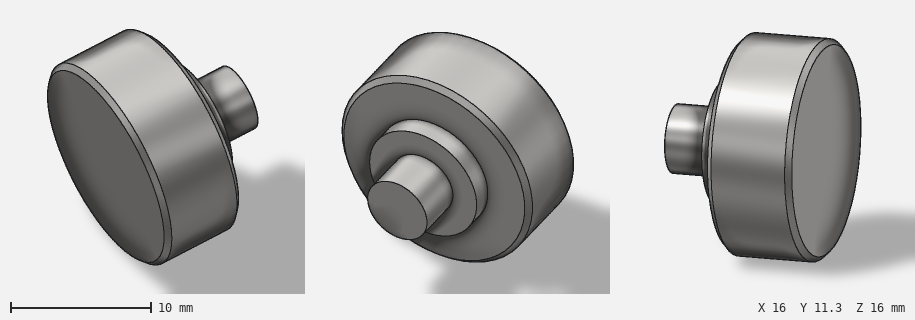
import cadquery as cq

total_length = 11.35

body_diameter = 16.0
body_length = 6.35
body_chamfer = 0.4

collar_diameter = 9.0
collar_length = 1.5

stem_diameter = 5.0
stem_length = total_length - body_length - collar_length


def cylinder_along_y(diameter, length, start):
    """Solid cylinder centred on the Y axis, running from start towards +Y."""
    plane = cq.Workplane("XZ", origin=(0, start, 0))
    return plane.circle(diameter / 2).extrude(-length)


body = cylinder_along_y(body_diameter, body_length, 0).faces("<Y or >Y").chamfer(body_chamfer)

collar = cylinder_along_y(collar_diameter, collar_length, body_length)
stem = cylinder_along_y(stem_diameter, stem_length, body_length + collar_length)

result = body.union(collar).union(stem)